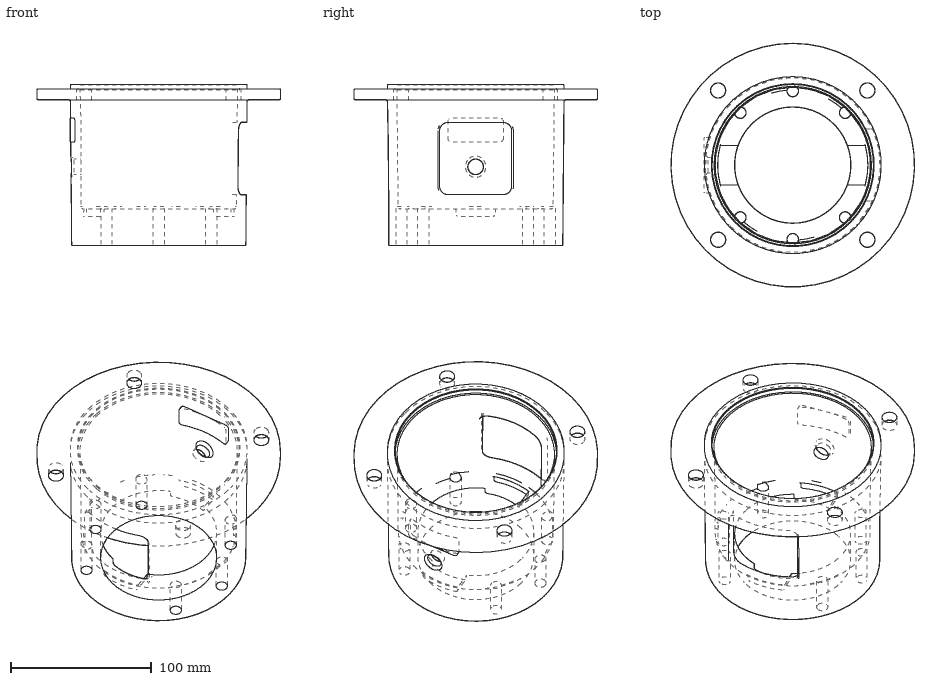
import cadquery as cq
import math

TOTAL_HEIGHT = 114.3
LIP_HEIGHT = 3.1
FLANGE_THICKNESS = 7.8
FLANGE_TOP = TOTAL_HEIGHT - LIP_HEIGHT
FLANGE_BOTTOM = FLANGE_TOP - FLANGE_THICKNESS
FLOOR_TOP = 26.0

FLANGE_RADIUS = 86.5
BODY_TOP_RADIUS = 62.8
BODY_BOTTOM_RADIUS = 62.0
EDGE_ROUND = 0.9
FLANGE_ROOT_ROUND = 1.4

FLOOR_BORE_RADIUS = 41.2
RECESS_RADIUS = 57.3
RECESS_DEPTH = 4.0
RECESS_CHAMFER = 0.5
CAVITY_TOP_RADIUS = 55.9
CAVITY_BOTTOM_RADIUS = 55.0
FLOOR_ROUND = 1.7

FLANGE_BOLT_RADIUS = 74.9
FLANGE_BOLT_DIAMETER = 10.5
FLANGE_BOLT_ANGLES = [45, 135, 225, 315]

FLOOR_BOLT_RADIUS = 52.5
FLOOR_BOLT_DIAMETER = 8.0
FLOOR_BOLT_ANGLES = [45, 90, 135, 225, 270, 315]

CHANNEL_WIDTH = 28.0
CHANNEL_DEPTH = 5.2
CHANNEL_BOTTOM_ROUND = 1.7
CHANNEL_RIM_ROUND = 0.7

WINDOW_BOTTOM = 36.2
WINDOW_TOP = 87.3
WINDOW_WIDTH = 51.2
WINDOW_EDGE_ROUND = 0.9
WINDOW_CORNER_RADIUS = 6.0

ACCESS_HOLE_HEIGHT = 55.9
ACCESS_HOLE_DIAMETER = 10.9
COUNTERSINK_DIAMETER = 15.2

PLATE_WIDTH = 39.5
PLATE_HEIGHT = 17.1
PLATE_CENTER_HEIGHT = 82.0
PLATE_FACE_X = -63.0
PLATE_CORNER_RADIUS = 2.6
PLATE_EDGE_ROUND = 0.9


def body_radius(height):
    """Outside radius of the drafted body at a given height."""
    slope = (BODY_TOP_RADIUS - BODY_BOTTOM_RADIUS) / FLANGE_BOTTOM
    return BODY_BOTTOM_RADIUS + slope * height


def make_outside():
    """Solid of revolution: drafted body, flange and locating lip."""
    outline = [
        (0, 0),
        (BODY_BOTTOM_RADIUS, 0),
        (BODY_TOP_RADIUS, FLANGE_BOTTOM),
        (FLANGE_RADIUS, FLANGE_BOTTOM),
        (FLANGE_RADIUS, FLANGE_TOP),
        (BODY_TOP_RADIUS, FLANGE_TOP),
        (BODY_TOP_RADIUS, TOTAL_HEIGHT),
        (0, TOTAL_HEIGHT),
    ]
    outside = cq.Workplane("XZ").polyline(outline).close().revolve(360, (0, 0), (0, 1))
    flange_underside = outside.faces(cq.selectors.NearestToPointSelector((0, 0, FLANGE_BOTTOM)))
    root = flange_underside.edges(cq.selectors.RadiusNthSelector(0))
    outside = root.fillet(FLANGE_ROOT_ROUND)
    outside = outside.edges(cq.selectors.RadiusNthSelector(-1)).fillet(EDGE_ROUND)
    return outside.faces("<Z or >Z").edges().fillet(EDGE_ROUND)


def make_cavity():
    """Drafted cavity with a rounded foot, a shallow recess and a chamfered mouth."""
    recess_floor = TOTAL_HEIGHT - RECESS_DEPTH
    outline = [
        (0, FLOOR_TOP),
        (CAVITY_BOTTOM_RADIUS, FLOOR_TOP),
        (CAVITY_TOP_RADIUS, recess_floor),
        (RECESS_RADIUS, recess_floor),
        (RECESS_RADIUS, TOTAL_HEIGHT - RECESS_CHAMFER),
        (RECESS_RADIUS + RECESS_CHAMFER, TOTAL_HEIGHT),
        (0, TOTAL_HEIGHT),
    ]
    cavity = cq.Workplane("XZ").polyline(outline).close().revolve(360, (0, 0), (0, 1))
    return cavity.faces("<Z").edges().fillet(FLOOR_ROUND)


def make_channel():
    """Channel tool with rounded bottom corners and rims, ending at the cavity wall."""
    half = CHANNEL_WIDTH / 2
    rim = half + CHANNEL_RIM_ROUND
    profile = (
        cq.Workplane("YZ", origin=(-FLANGE_RADIUS, 0, FLOOR_TOP))
        .moveTo(-rim, 0)
        .radiusArc((-half, -CHANNEL_RIM_ROUND), CHANNEL_RIM_ROUND)
        .lineTo(-half, CHANNEL_BOTTOM_ROUND - CHANNEL_DEPTH)
        .radiusArc((CHANNEL_BOTTOM_ROUND - half, -CHANNEL_DEPTH), -CHANNEL_BOTTOM_ROUND)
        .lineTo(half - CHANNEL_BOTTOM_ROUND, -CHANNEL_DEPTH)
        .radiusArc((half, CHANNEL_BOTTOM_ROUND - CHANNEL_DEPTH), -CHANNEL_BOTTOM_ROUND)
        .lineTo(half, -CHANNEL_RIM_ROUND)
        .radiusArc((rim, 0), CHANNEL_RIM_ROUND)
        .close()
    )
    channel = profile.extrude(2 * FLANGE_RADIUS)
    limit = cq.Workplane("XY").circle(CAVITY_BOTTOM_RADIUS - FLOOR_ROUND).extrude(FLOOR_TOP)
    return channel.intersect(limit)


def make_bolt_holes(angles, circle_radius, diameter, bottom, top):
    """Vertical hole tools on one bolt circle."""
    points = [
        (circle_radius * math.cos(math.radians(a)), circle_radius * math.sin(math.radians(a)))
        for a in angles
    ]
    return (
        cq.Workplane("XY", origin=(0, 0, bottom))
        .pushPoints(points)
        .circle(diameter / 2)
        .extrude(top - bottom)
    )


def make_window():
    """Rounded rectangular tool reaching from the axis out through the +X wall."""
    height = WINDOW_TOP - WINDOW_BOTTOM
    return (
        cq.Workplane("YZ", origin=(0, 0, WINDOW_BOTTOM + height / 2))
        .rect(WINDOW_WIDTH, height)
        .extrude(FLANGE_RADIUS)
        .edges("|X")
        .fillet(WINDOW_CORNER_RADIUS)
    )


def make_access_hole():
    """Hole tool through the -X wall with a 45 degree countersink at the outside."""
    surface = body_radius(ACCESS_HOLE_HEIGHT)
    hole_radius = ACCESS_HOLE_DIAMETER / 2
    sink_radius = COUNTERSINK_DIAMETER / 2
    sink_depth = sink_radius - hole_radius
    outline = [
        (0, 0),
        (-surface - sink_depth, 0),
        (-surface - sink_depth, sink_radius + sink_depth),
        (sink_depth - surface, hole_radius),
        (0, hole_radius),
    ]
    return (
        cq.Workplane("XZ", origin=(0, 0, ACCESS_HOLE_HEIGHT))
        .polyline(outline)
        .close()
        .revolve(360, (0, 0), (1, 0))
    )


def make_name_plate():
    """Flat plate whose ends stand proud of the round wall."""
    thickness = -PLATE_FACE_X - CAVITY_TOP_RADIUS
    plate = (
        cq.Workplane("YZ", origin=(PLATE_FACE_X, 0, PLATE_CENTER_HEIGHT))
        .rect(PLATE_WIDTH, PLATE_HEIGHT)
        .extrude(thickness)
        .edges("|X")
        .fillet(PLATE_CORNER_RADIUS)
    )
    return plate.faces("<X").edges().fillet(PLATE_EDGE_ROUND)


def cut_window(wall):
    """Cut the window and round its edges on both sides of the wall."""
    cut = wall.cut(make_window())
    margin = 1.7
    around_window = cq.selectors.BoxSelector(
        (FLOOR_BORE_RADIUS, -WINDOW_WIDTH / 2 - margin, WINDOW_BOTTOM - margin),
        (FLANGE_RADIUS, WINDOW_WIDTH / 2 + margin, WINDOW_TOP + margin),
        boundingbox=True,
    )
    return cut.edges(around_window).edges("not #X").edges("not |X").fillet(WINDOW_EDGE_ROUND)


floor_bore = cq.Workplane("XY").circle(FLOOR_BORE_RADIUS).extrude(TOTAL_HEIGHT)
flange_holes = make_bolt_holes(
    FLANGE_BOLT_ANGLES, FLANGE_BOLT_RADIUS, FLANGE_BOLT_DIAMETER, FLANGE_BOTTOM, FLANGE_TOP
)
floor_holes = make_bolt_holes(
    FLOOR_BOLT_ANGLES, FLOOR_BOLT_RADIUS, FLOOR_BOLT_DIAMETER, 0, FLOOR_TOP + FLOOR_ROUND
)

wall = make_outside().cut(make_cavity()).rotate((0, 0, 0), (0, 0, 1), 90)
result = (
    cut_window(wall)
    .union(make_name_plate())
    .cut(floor_bore)
    .cut(make_channel())
    .cut(make_access_hole())
    .cut(flange_holes)
    .cut(floor_holes)
)